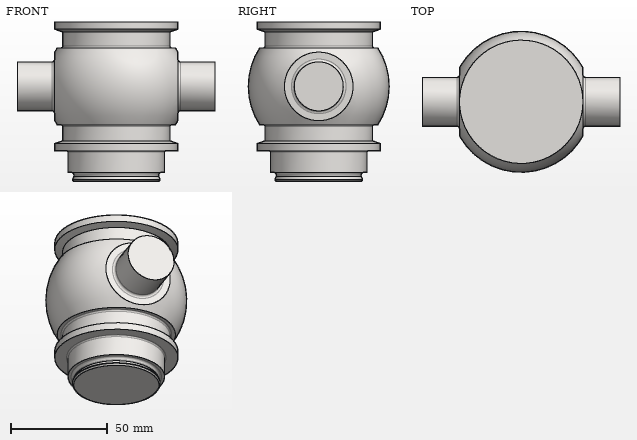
import cadquery as cq
import math

ball_radius = 73.1 / 2
ball_half_height = 20.0
flat_offset = 63.9 / 2

overall_length = 102.4
pin_radius = 25.4 / 2
pin_fillet = 1.4

neck_radius = 55.7 / 2
neck_fillet = 0.8
flange_radius = 63.9 / 2
flange_face = 33.4
flange_rim_thickness = 3.8
flange_cone_height = 1.4

overall_height = 82.7
nose_radius = 50.1 / 2
nose_length = 11.2
nose_fillet = 0.7
groove_radius = 44 / 2
groove_fillet = 1.4
groove_land = 0.6
lip_radius = 45.4 / 2
lip_chamfer_height = 0.9
lip_land = 0.3
lip_chamfer_width = 0.6
lip_cone_height = 1.5


def revolve_about_z(profile):
    return profile.close().revolve(360, (0, 0, 0), (0, 1, 0))


def make_ball():
    ball = cq.Workplane("XY").sphere(ball_radius)
    envelope = cq.Workplane("XY").box(2 * flat_offset, 4 * ball_radius, 2 * ball_half_height)
    return ball.intersect(envelope)


def make_upper_neck():
    rim_bottom = flange_face - flange_rim_thickness
    arc_inset = neck_fillet * (1 - math.sqrt(0.5))
    return revolve_about_z(
        cq.Workplane("XZ")
        .lineTo(neck_radius + neck_fillet, 0)
        .lineTo(neck_radius + neck_fillet, ball_half_height)
        .threePointArc(
            (neck_radius + arc_inset, ball_half_height + arc_inset),
            (neck_radius, ball_half_height + neck_fillet),
        )
        .lineTo(neck_radius, rim_bottom - flange_cone_height)
        .lineTo(flange_radius, rim_bottom)
        .lineTo(flange_radius, flange_face)
        .lineTo(0, flange_face)
    )


def make_nose():
    nose_bottom = -flange_face - nose_length
    part_bottom = flange_face - overall_height
    lip_edge = part_bottom + lip_chamfer_height
    lip_top = lip_edge + lip_land
    land_bottom = lip_top + lip_cone_height
    land_top = land_bottom + groove_land
    arc_inset = groove_fillet * (1 - math.sqrt(0.5))
    root_inset = nose_fillet * (1 - math.sqrt(0.5))
    return revolve_about_z(
        cq.Workplane("XZ")
        .moveTo(0, -flange_face)
        .lineTo(nose_radius + nose_fillet, -flange_face)
        .threePointArc(
            (nose_radius + root_inset, -flange_face - root_inset),
            (nose_radius, -flange_face - nose_fillet),
        )
        .lineTo(nose_radius, nose_bottom)
        .lineTo(groove_radius + groove_fillet, nose_bottom)
        .threePointArc(
            (groove_radius + arc_inset, nose_bottom - arc_inset),
            (groove_radius, land_top),
        )
        .lineTo(groove_radius, land_bottom)
        .lineTo(lip_radius, lip_top)
        .lineTo(lip_radius, lip_edge)
        .lineTo(lip_radius - lip_chamfer_width, part_bottom)
        .lineTo(0, part_bottom)
    )


def make_right_pin():
    pin_end = overall_length / 2
    arc_inset = pin_fillet * (1 - math.sqrt(0.5))
    return (
        cq.Workplane("XZ")
        .lineTo(0, pin_radius + pin_fillet)
        .lineTo(flat_offset, pin_radius + pin_fillet)
        .threePointArc(
            (flat_offset + arc_inset, pin_radius + arc_inset),
            (flat_offset + pin_fillet, pin_radius),
        )
        .lineTo(pin_end, pin_radius)
        .lineTo(pin_end, 0)
        .close()
        .revolve(360, (0, 0, 0), (1, 0, 0))
    )


upper_neck = make_upper_neck()
right_pin = make_right_pin()

result = (
    make_ball()
    .union(upper_neck)
    .union(upper_neck.mirror("XY"))
    .union(make_nose())
    .union(right_pin)
    .union(right_pin.mirror("YZ"))
)